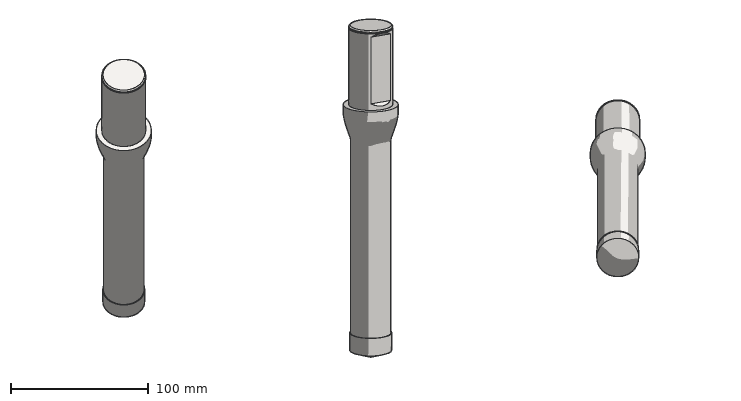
import cadquery as cq
import math


shank_radius = 31.99 / 2
shank_length = 60.0
shank_chamfer = 1.0
end_groove_depth = 0.35
end_groove_upper_height = 0.95

flat_depth = 2.3
flat_end_margin = 2.4
flat_top = shank_length - flat_end_margin
flat_bottom = 2.7

collar_radius = 40.0 / 2
collar_height = 7.7
taper_end = 24.4
blend_end = 27.4
taper_angle = math.radians(20)

neck_radius = 29.4 / 2
head_radius = 30.5 / 2
overall_reach = 191.0
point_angle = math.radians(140)
head_length = 18.7

point_height = head_radius / math.tan(point_angle / 2)
head_top = head_length - overall_reach
head_shoulder = point_height - overall_reach

neck_blend_radius = (blend_end - taper_end) / math.sin(taper_angle)


def neck_blend_point(angle):
    """Point on the neck blend after turning away from the neck through angle."""
    return (
        neck_radius + neck_blend_radius * (1 - math.cos(angle)),
        neck_blend_radius * math.sin(angle) - blend_end,
    )


def make_holder():
    chamfer_bottom = shank_length - shank_chamfer
    groove_root = chamfer_bottom - end_groove_upper_height
    groove_bottom = groove_root - end_groove_depth
    taper_point = neck_blend_point(taper_angle)
    corner_z = taper_point[1] + (collar_radius - taper_point[0]) / math.tan(taper_angle)
    return (
        cq.Workplane("XZ")
        .moveTo(0, shank_length)
        .lineTo(shank_radius - shank_chamfer, shank_length)
        .lineTo(shank_radius, chamfer_bottom)
        .lineTo(shank_radius - end_groove_depth, groove_root)
        .lineTo(shank_radius, groove_bottom)
        .lineTo(shank_radius, 0)
        .lineTo(collar_radius, 0)
        .lineTo(collar_radius, -collar_height)
        .bezier([(collar_radius, corner_z), taper_point], includeCurrent=True)
        .threePointArc(neck_blend_point(taper_angle / 2), (neck_radius, -blend_end))
        .lineTo(neck_radius, head_top)
        .lineTo(0, head_top)
        .close()
        .revolve(360, (0, 0, 0), (0, 1, 0))
    )


def make_flat_cutter():
    flat_y = shank_radius - flat_depth
    return (
        cq.Workplane("YZ")
        .polyline([
            (flat_y, flat_bottom + flat_depth),
            (flat_y, flat_top - flat_depth),
            (shank_radius, flat_top),
            (shank_radius, flat_bottom),
        ])
        .close()
        .extrude(shank_radius, both=True)
    )


def make_head():
    return (
        cq.Workplane("XZ")
        .polyline([
            (0, head_top),
            (head_radius, head_top),
            (head_radius, head_shoulder),
            (0, -overall_reach),
        ])
        .close()
        .revolve(360, (0, 0, 0), (0, 1, 0))
    )


holder = make_holder().cut(make_flat_cutter())
head = make_head()

result = cq.Compound.makeCompound([holder.val(), head.val()])